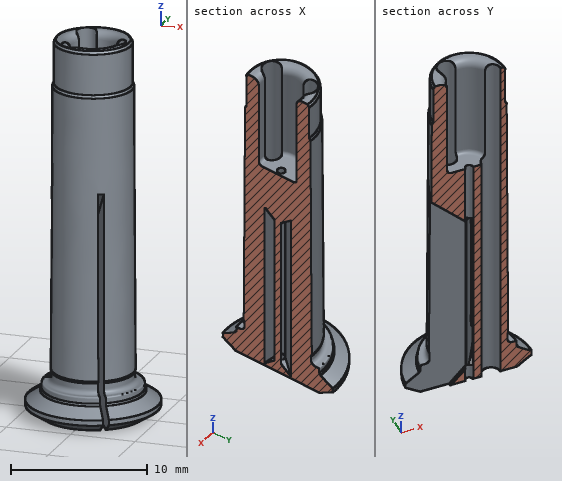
import cadquery as cq
import math

length = 29.0
quadrant = math.sqrt(0.5)

rim_radius = 5.002
foot_radius = 3.83
rim_bottom = 0.75
rim_top = 1.15
shoulder_radius = 3.92
shoulder_height = 1.88

step_radius = 3.8
step_bottom = 2.05
step_top = 2.52
step_round = 0.12

neck_radius = 3.07
neck_fillet = 0.38
taper_start_height = 3.55
taper_lead_in = 0.17
taper_bottom_radius = 3.13
taper_top_radius = 3.02
taper_top_height = 25.4

end_radius = 5.8 / 2
end_chamfer_height = 0.23
end_chamfer_width = 0.15

socket_radius = 1.75
socket_depth = 8.7
socket_floor_fillet = 0.3
mouth_round = 0.6

center_hole_diameter = 0.6
side_hole_diameter = 1.5
side_hole_circle_radius = 1.88
side_hole_circle_center_x = -0.15

slot_count = 3
slot_width = 0.44
slot_top = 18.07
slot_floor_at_axis = 1.5
slot_reach = rim_radius + 0.3


def outer_body():
    """Revolved solid of the head, shank and plain end."""
    fillet_mid_radius = neck_radius + neck_fillet * (1 - quadrant)
    fillet_mid_height = step_top + neck_fillet * (1 - quadrant)
    return (
        cq.Workplane("XZ")
        .lineTo(foot_radius, 0)
        .lineTo(rim_radius, rim_bottom)
        .lineTo(rim_radius, rim_top)
        .lineTo(shoulder_radius, shoulder_height)
        .lineTo(step_radius, step_bottom)
        .lineTo(step_radius, step_top - step_round)
        .threePointArc(
            (
                step_radius - step_round * (1 - quadrant),
                step_top - step_round * (1 - quadrant),
            ),
            (step_radius - step_round, step_top),
        )
        .lineTo(neck_radius + neck_fillet, step_top)
        .threePointArc(
            (fillet_mid_radius, fillet_mid_height),
            (neck_radius, step_top + neck_fillet),
        )
        .lineTo(neck_radius, taper_start_height - taper_lead_in)
        .lineTo(taper_bottom_radius, taper_start_height)
        .lineTo(taper_top_radius, taper_top_height)
        .lineTo(end_radius, taper_top_height + end_chamfer_height)
        .lineTo(end_radius, length - end_chamfer_height)
        .lineTo(end_radius - end_chamfer_width, length)
        .lineTo(0, length)
        .close()
        .revolve(360, (0, 0), (0, 1))
    )


def socket():
    """Revolved cutter with a filleted floor and a flared, rounded mouth."""
    floor = length - socket_depth
    fillet_center_radius = socket_radius - socket_floor_fillet
    fillet_center_height = floor + socket_floor_fillet
    mouth_radius = socket_radius + mouth_round
    return (
        cq.Workplane("XZ")
        .moveTo(0, floor)
        .lineTo(fillet_center_radius, floor)
        .threePointArc(
            (
                fillet_center_radius + socket_floor_fillet * quadrant,
                fillet_center_height - socket_floor_fillet * quadrant,
            ),
            (socket_radius, fillet_center_height),
        )
        .lineTo(socket_radius, length - mouth_round)
        .threePointArc(
            (
                mouth_radius - mouth_round * quadrant,
                length - mouth_round * (1 - quadrant),
            ),
            (mouth_radius, length),
        )
        .lineTo(0, length)
        .close()
        .revolve(360, (0, 0), (0, 1))
    )


def through_holes():
    """Center hole and the side holes, each lying between two slots."""
    center = cq.Workplane("XY").circle(center_hole_diameter / 2).extrude(length)
    sides = (
        cq.Workplane("XY")
        .center(side_hole_circle_center_x, 0)
        .polarArray(side_hole_circle_radius, 0, 360, slot_count)
        .circle(side_hole_diameter / 2)
        .extrude(length)
    )
    return center.union(sides)


def slot():
    """One slot from the axis out through the -X side."""
    ceiling_at_axis = slot_top - taper_bottom_radius
    return (
        cq.Workplane("XZ")
        .polyline(
            [
                (0, slot_floor_at_axis),
                (-slot_reach, slot_floor_at_axis - slot_reach),
                (-slot_reach, ceiling_at_axis + slot_reach),
                (0, ceiling_at_axis),
            ]
        )
        .close()
        .extrude(slot_width / 2, both=True)
    )


result = outer_body().cut(socket()).cut(through_holes())
for index in range(slot_count):
    result = result.cut(slot().rotate((0, 0, 0), (0, 0, 1), index * 360 / slot_count))